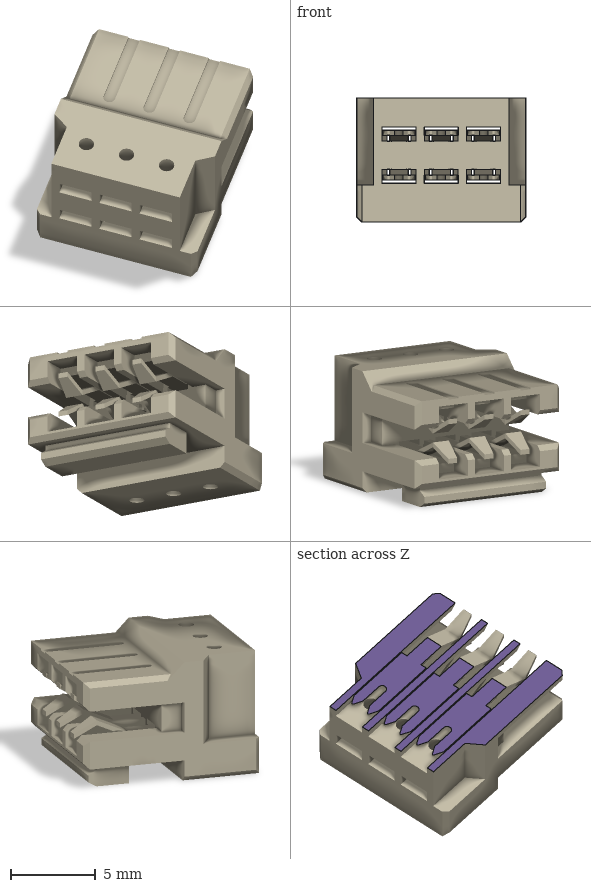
import cadquery as cq


width = 10.0
length = 11.0
height = 7.35
bevel = 0.31

head_depth = 4.78
relief_bottom = 2.21
relief_inset = 1.0
relief_depth = 2.9
relief_end = 3.58

deck_top = 6.61
gap_top = 4.87
gap_bottom = 3.01
tongue_bottom = 1.31
gap_mid_z = (gap_top + gap_bottom) / 2

web_end = 6.0
web_inset = 0.6

key_span = 0.78
key_thickness = 0.18
key_length = 0.4
key_bevel = 0.1

latch_inset = 0.78
latch_front = 7.99
latch_heel = 10.0
latch_tip = 10.52
latch_tip_bottom = 0.3
latch_tip_top = 0.7
latch_neck = 1.0

columns = 3
pitch = 2.5
column_x = [(i - (columns - 1) / 2) * pitch for i in range(columns)]

groove_width = 0.7
groove_depth = 0.1
groove_start = 5.98
hole_diameter = 0.9
hole_y = 2.05

contact_mid_z = 3.96
cavity_width = 2.0
cavity_near = 0.84
cavity_far = 1.65
ledge_start = 3.0
ledge_gap = 1.4
tip_pocket_start = 9.44
tip_pocket_far = 2.2

strip_near = 1.18
strip_thickness = 0.3
strip_side_gap = 0.04
strip_width = cavity_width - 2 * strip_side_gap
spring_width = 1.1
spring_tip_width = 0.6
bend_y = 7.56
spring_peak_y = 9.57
spring_peak = 0.26
spring_end = 10.92
spring_end_rise = 0.78

prong_tip_y = 1.0
prong_shoulder_y = 1.58
prong_tip_x = 0.6
prong_tip_half = 0.09
prong_tip_rise = 0.05
fork_slot = 0.51
fork_slot_end = 3.3


def block(x_size, y_range, z_range, x_centre=0):
    """Box centred on x_centre, spanning the given y and z ranges."""
    y0, y1 = y_range
    z0, z1 = z_range
    return (
        cq.Workplane("XY")
        .box(x_size, y1 - y0, z1 - z0, centered=(True, False, False))
        .translate((x_centre, y0, z0))
    )


def side_prism(points, x_size, x_centre=0):
    """Prism along X, centred on x_centre, from a (y, z) outline."""
    return (
        cq.Workplane("YZ", origin=(x_centre, 0, 0))
        .polyline(points)
        .close()
        .extrude(x_size / 2, both=True)
    )


def upper_and_lower(solid):
    """The solid together with its mirror image across the plane midway between the contact rows."""
    return solid.union(solid.mirror("XY", (0, 0, contact_mid_z)))


def make_head():
    """Block with bevelled edges, a 45 degree slope at the back and cut-away upper corners."""
    slope_drop = height - deck_top + bevel
    outline = [
        (0, 0),
        (head_depth, 0),
        (head_depth, gap_top),
        (head_depth + slope_drop, height - slope_drop),
        (head_depth, height),
        (0, height),
    ]
    head = side_prism(outline, width)
    head = head.edges("|Z and <Y").chamfer(bevel)
    head = head.edges("|Y and <Z").chamfer(bevel)
    corner = (
        cq.Workplane("XY", origin=(0, 0, relief_bottom))
        .moveTo(-width / 2, 0)
        .lineTo(-width / 2 + relief_inset, 0)
        .lineTo(-width / 2 + relief_inset, relief_depth)
        .lineTo(-width / 2, relief_end)
        .close()
        .extrude(height - relief_bottom)
    )
    return head.cut(corner).cut(corner.mirror("YZ"))


def make_arm_plan(z_range):
    """Arm block running from the head to the back, with its two rear corners bevelled."""
    return block(width, (head_depth, length), z_range).edges("|Z and >Y").chamfer(bevel)


def make_deck():
    """Upper arm: bevelled along both top sides and along the lower rear edge."""
    z_range = (gap_top, deck_top)
    outline = [
        (head_depth, gap_top),
        (length - bevel, gap_top),
        (length, gap_top + bevel),
        (length, deck_top),
        (head_depth, deck_top),
    ]
    rear_bevelled = side_prism(outline, width)
    side_bevelled = block(width, (head_depth, length), z_range).edges("|Y and >Z").chamfer(bevel)
    return make_arm_plan(z_range).intersect(rear_bevelled).intersect(side_bevelled)


def make_tongue():
    """Lower arm: bevelled along both rear edges."""
    z_range = (tongue_bottom, gap_bottom)
    rear_bevelled = block(width, (head_depth, length), z_range).edges("|X and >Y").chamfer(bevel)
    return make_arm_plan(z_range).intersect(rear_bevelled)


def make_key():
    """Cross-shaped peg with bevelled arm ends, standing on the web."""
    y_range = (web_end, web_end + key_length)
    half = key_span / 2
    thin = key_thickness / 2
    upright = block(key_thickness, y_range, (gap_mid_z - half, gap_mid_z + half))
    upright = upright.edges("|X and >Y").chamfer(key_bevel)
    crossbar = block(key_span, y_range, (gap_mid_z - thin, gap_mid_z + thin))
    crossbar = crossbar.edges("|Z and >Y").chamfer(key_bevel)
    return upright.union(crossbar)


def make_latch():
    """Hooked bar below the lower arm."""
    outline = [
        (latch_front, tongue_bottom),
        (latch_front, 0),
        (latch_heel, 0),
        (latch_tip, latch_tip_bottom),
        (latch_tip, latch_tip_top),
        (latch_heel, latch_neck),
        (latch_heel, tongue_bottom),
    ]
    return side_prism(outline, width - 2 * latch_inset)


def make_cavity(x):
    """Pair of cavities: front window, ledged passage and open spring slot, deeper at the rear."""
    near = contact_mid_z + cavity_near
    far = contact_mid_z + cavity_far
    window = block(cavity_width, (0, ledge_start), (near, far), x)
    passage = block(ledge_gap, (ledge_start, web_end), (near, far), x)
    channel = block(cavity_width, (ledge_start, length), (contact_mid_z + strip_near, far), x)
    spring_slot = block(cavity_width, (web_end, length), (near, far), x)
    pocket_far = contact_mid_z + tip_pocket_far
    tip_pocket = block(cavity_width, (tip_pocket_start, length), (near, pocket_far), x)
    return upper_and_lower(window.union(passage).union(channel).union(spring_slot).union(tip_pocket))


def make_fork(x):
    """Flat strip in the head with two pointed prongs that straddle a wire slot."""
    half = strip_width / 2
    tip_start_y = prong_tip_y + prong_tip_rise
    return (
        cq.Workplane("XY", origin=(x, 0, contact_mid_z + strip_near))
        .moveTo(-half, web_end)
        .lineTo(-half, prong_shoulder_y)
        .lineTo(-prong_tip_x - prong_tip_half, tip_start_y)
        .threePointArc((-prong_tip_x, prong_tip_y), (-prong_tip_x + prong_tip_half, tip_start_y))
        .lineTo(-fork_slot / 2, prong_shoulder_y)
        .lineTo(-fork_slot / 2, fork_slot_end - fork_slot / 2)
        .threePointArc((0, fork_slot_end), (fork_slot / 2, fork_slot_end - fork_slot / 2))
        .lineTo(fork_slot / 2, prong_shoulder_y)
        .lineTo(prong_tip_x - prong_tip_half, tip_start_y)
        .threePointArc((prong_tip_x, prong_tip_y), (prong_tip_x + prong_tip_half, tip_start_y))
        .lineTo(half, prong_shoulder_y)
        .lineTo(half, web_end)
        .close()
        .extrude(strip_thickness)
    )


def make_spring(x):
    """V-shaped contact spring over the gap, tapering in width beyond its peak."""
    near = contact_mid_z + strip_near
    peak = contact_mid_z + spring_peak
    inner_face = [
        (web_end, near),
        (bend_y, near),
        (spring_peak_y, peak),
        (spring_end, peak + spring_end_rise),
    ]
    outer_face = [(y, z + strip_thickness) for y, z in reversed(inner_face)]
    half = spring_width / 2
    tip_half = spring_tip_width / 2
    plan = (
        cq.Workplane("XY", origin=(x, 0, 0))
        .polyline(
            [
                (-half, web_end),
                (-half, spring_peak_y),
                (-tip_half, spring_end),
                (tip_half, spring_end),
                (half, spring_peak_y),
                (half, web_end),
            ]
        )
        .close()
        .extrude(height)
    )
    return side_prism(inner_face + outer_face, spring_width, x).intersect(plan)


def make_groove(x):
    """Shallow groove in the deck, rounded at its front end and open at the back."""
    radius = groove_width / 2
    return (
        cq.Workplane("XY", origin=(x, 0, deck_top - groove_depth))
        .moveTo(-radius, length)
        .lineTo(-radius, groove_start + radius)
        .threePointArc((0, groove_start), (radius, groove_start + radius))
        .lineTo(radius, length)
        .close()
        .extrude(groove_depth)
    )


def make_test_hole(x):
    """Vertical hole through the head."""
    return cq.Workplane("XY", origin=(x, hole_y, 0)).circle(hole_diameter / 2).extrude(height)


web = block(width - 2 * web_inset, (head_depth, web_end), (gap_bottom, gap_top))
housing = make_head().union(make_deck()).union(make_tongue()).union(web)

for x in column_x:
    housing = housing.cut(make_cavity(x)).cut(make_groove(x)).cut(make_test_hole(x))

housing = housing.union(make_key()).union(make_latch())

for x in column_x:
    housing = housing.union(upper_and_lower(make_fork(x).union(make_spring(x))))

result = housing